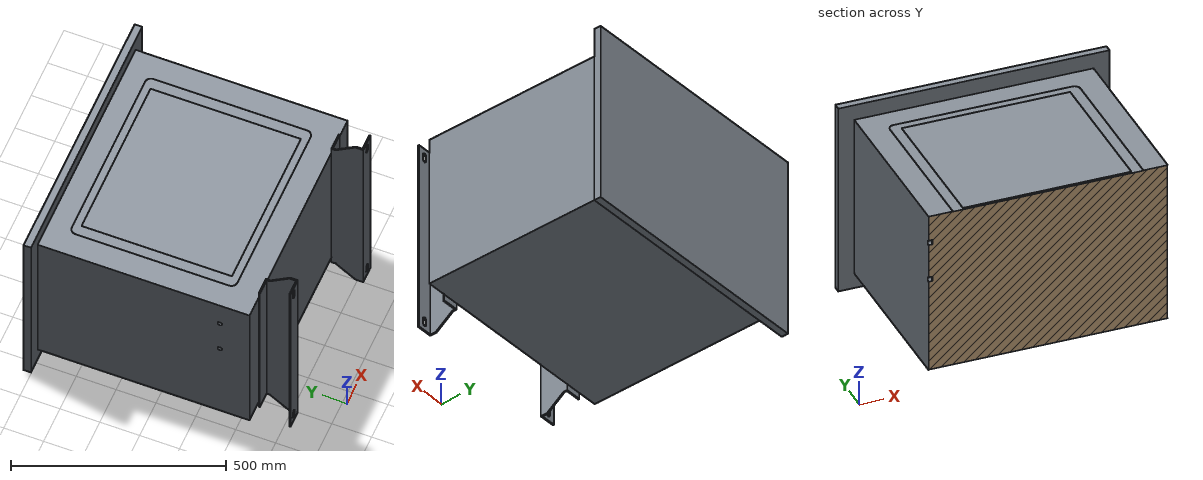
import cadquery as cq

plate_width = 680.0
plate_height = 500.5
plate_thickness = 19.0
total_depth = 631.0

body_width = 600.0
body_height = 420.0
bracket_depth = 80.0
body_front = bracket_depth - total_depth

recess_width = 477.5
recess_depth_y = 415.5
recess_radius = 15.0
pane_width = 422.0
pane_depth_y = 377.5
top_panel_centre_y = -281.5
recess_step = 1.0

side_hole_diameter = 11.0
side_hole_depth = 10.0
side_hole_y = -476.0
side_hole_heights = (37.5, 137.5)

bracket_height = 530.0
rear_flange_height = 454.0
flange_width = 45.0
web_inner_x = 200.0
sheet_thickness = 3.5
taper_start = 11.0
taper_end = 61.0

slot_length = 24.5
slot_width = 11.5
slot_x = 224.5
slot_z = 239.5


def block(width, height, rear_y, front_y):
    """Box centred on X and Z, between two Y positions."""
    depth = rear_y - front_y
    return cq.Workplane("XY").box(width, depth, height).translate((0, (rear_y + front_y) / 2, 0))


def make_cabinet():
    plate = block(plate_width, plate_height, 0, -plate_thickness)
    return plate.union(block(body_width, body_height, -plate_thickness, body_front))


def cut_top_panel(cabinet):
    top = cq.Workplane("XY", origin=(0, top_panel_centre_y, body_height / 2))
    recess = top.rect(recess_width, recess_depth_y).extrude(-recess_step).edges("|Z").fillet(recess_radius)
    pane = top.rect(pane_width, pane_depth_y).extrude(-2 * recess_step)
    return cabinet.cut(recess).cut(pane)


def cut_side_holes(cabinet):
    points = [(side_hole_y, z) for z in side_hole_heights]
    side = cq.Workplane("YZ", origin=(-body_width / 2, 0, 0))
    return cabinet.cut(side.pushPoints(points).circle(side_hole_diameter / 2).extrude(side_hole_depth))


def make_right_bracket():
    front = -total_depth
    half_rear = rear_flange_height / 2
    half_front = bracket_height / 2
    taper_rear_y = body_front - taper_start
    taper_front_y = body_front - taper_end
    web = (
        cq.Workplane("YZ", origin=(web_inner_x, 0, 0))
        .polyline([
            (body_front, -half_rear),
            (taper_rear_y, -half_rear),
            (taper_front_y, -half_front),
            (front, -half_front),
            (front, half_front),
            (taper_front_y, half_front),
            (taper_rear_y, half_rear),
            (body_front, half_rear),
        ])
        .close()
        .extrude(sheet_thickness)
    )
    flange_centre = (web_inner_x + flange_width / 2, 0, 0)
    rear_flange = block(flange_width, rear_flange_height, body_front, body_front - sheet_thickness)
    front_flange = block(flange_width, bracket_height, front + sheet_thickness, front)
    bracket = web.union(rear_flange.translate(flange_centre)).union(front_flange.translate(flange_centre))
    slots = (
        cq.Workplane("XZ", origin=(0, front + sheet_thickness, 0))
        .pushPoints([(slot_x, -slot_z), (slot_x, slot_z)])
        .slot2D(slot_length, slot_width, 90)
        .extrude(sheet_thickness)
    )
    return bracket.cut(slots)


cabinet = cut_side_holes(cut_top_panel(make_cabinet()))
right_bracket = make_right_bracket()
left_bracket = right_bracket.mirror("YZ")
result = cabinet.union(right_bracket).union(left_bracket)